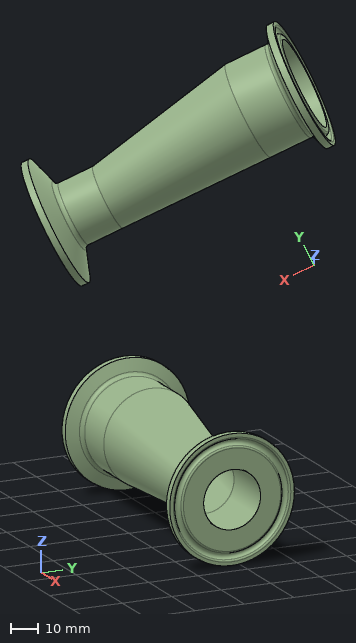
import cadquery as cq
import math

length = 107.0
large_diameter = 38.1
large_bore = 35.7
small_diameter = 25.4
small_bore = 23.0
axis_offset = (large_diameter - small_diameter) / 2

straight_length = 23.0
taper_length = length - 2 * straight_length

flange_diameter = 50.5
rim_thickness = 2.9
back_angle = math.radians(20)
neck_fillet = 1.9

groove_radius = 21.7
groove_half_width = 2.0
groove_depth = 1.6
lip_width = 0.7


def flange_end(tube_diameter):
    """Solid flange with its straight tube, face at X = 0, pointing along +X."""
    tube_radius = tube_diameter / 2
    flange_radius = flange_diameter / 2
    corner_x = rim_thickness + (flange_radius - tube_radius) * math.tan(back_angle)
    turn = math.pi / 2 - back_angle
    tangent = neck_fillet * math.tan(turn / 2)
    fillet_start = (
        corner_x - tangent * math.sin(back_angle),
        tube_radius + tangent * math.cos(back_angle),
    )
    fillet_end = (corner_x + tangent, tube_radius)
    fillet_middle = (
        fillet_end[0] - neck_fillet * math.sin(turn / 2),
        tube_radius + neck_fillet * (1 - math.cos(turn / 2)),
    )
    profile = (
        cq.Workplane("XY")
        .moveTo(0, 0)
        .lineTo(0, flange_radius)
        .lineTo(rim_thickness, flange_radius)
        .lineTo(*fillet_start)
        .threePointArc(fillet_middle, fillet_end)
        .lineTo(straight_length, tube_radius)
        .lineTo(straight_length, 0)
        .close()
    )
    end = profile.revolve(360, (0, 0, 0), (1, 0, 0))
    return end.cut(gasket_groove())


def gasket_groove():
    """Ring removed from a clamp face at X = 0, its lip arcs tangent to the face and the bottom arc."""
    inner = groove_radius - groove_half_width
    outer = groove_radius + groove_half_width
    slope = 2 * math.atan(groove_depth / groove_half_width)
    lip_radius = lip_width / math.sin(slope)
    lip_drop = lip_radius * (1 - math.cos(slope))
    middle_drop = lip_radius * (1 - math.cos(slope / 2))
    middle_width = lip_radius * math.sin(slope / 2)
    profile = (
        cq.Workplane("XY")
        .moveTo(0, inner)
        .threePointArc((middle_drop, inner + middle_width), (lip_drop, inner + lip_width))
        .threePointArc((groove_depth, groove_radius), (lip_drop, outer - lip_width))
        .threePointArc((middle_drop, outer - middle_width), (0, outer))
        .close()
    )
    return profile.revolve(360, (0, 0, 0), (1, 0, 0))


def taper(large_end, small_end):
    """Eccentric loft between the two straight tubes."""
    return (
        cq.Workplane("YZ", origin=(straight_length, 0, 0))
        .circle(large_end / 2)
        .workplane(offset=taper_length)
        .center(-axis_offset, 0)
        .circle(small_end / 2)
        .loft(ruled=True)
    )


def bore(diameter, start_x, centre_y):
    """Cylinder along +X covering one straight tube."""
    plane = cq.Workplane("YZ", origin=(start_x, centre_y, 0))
    return plane.circle(diameter / 2).extrude(straight_length)


large_end = flange_end(large_diameter)
small_end = flange_end(small_diameter).mirror("YZ").translate((length, -axis_offset, 0))
outside = large_end.union(taper(large_diameter, small_diameter)).union(small_end)

result = (
    outside.cut(bore(large_bore, 0, 0))
    .cut(taper(large_bore, small_bore))
    .cut(bore(small_bore, length - straight_length, -axis_offset))
)